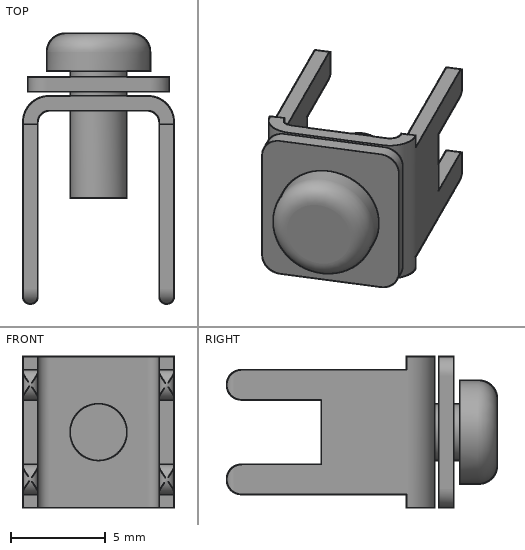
import cadquery as cq

bracket_width = 8.0
bracket_height = 8.0
sheet = 0.8
web_top = 11.0
inner_bend_radius = 0.6
outer_bend_radius = inner_bend_radius + sheet

shoulder_y = 9.5
wall_height = 6.6
leg_width = 1.6
fork_y = 5.0
fork_gap = wall_height - 2 * leg_width

plate_width = 7.5
plate_height = bracket_height
plate_corner_radius = 1.0
plate_gap = 0.2
plate_bottom = web_top + plate_gap

screw_diameter = 3.0
screw_end_y = 5.6
head_diameter = 5.5
head_height = 2.0
head_fillet = 1.0
head_top = 14.31
head_bottom = head_top - head_height


def box_y(width, y_start, y_end, height):
    """Box centred on X and Z, spanning the given Y range."""
    length = y_end - y_start
    return cq.Workplane("XY").box(width, length, height).translate((0, y_start + length / 2, 0))


def rod_y(diameter, y_start, y_end):
    """Cylinder along Y."""
    plane = cq.Plane(origin=(0, y_start, 0), xDir=(1, 0, 0), normal=(0, 1, 0))
    return cq.Workplane(plane).circle(diameter / 2).extrude(y_end - y_start)


def bent_sheet():
    """U-shaped sheet with rounded bends and fully rounded free ends."""
    outer = box_y(bracket_width, 0, web_top, bracket_height)
    outer = outer.edges("|Z and >Y").fillet(outer_bend_radius)
    inner_top = web_top - sheet
    inner = box_y(bracket_width - 2 * sheet, 0, inner_top, bracket_height)
    inner = inner.edges("|Z and >Y").fillet(inner_bend_radius)
    sheet_body = outer.cut(inner)

    end_radius = sheet / 2
    wall_x = bracket_width / 2 - end_radius
    sheet_body = sheet_body.cut(box_y(bracket_width, 0, end_radius, bracket_height))
    ends = (
        cq.Workplane("XY", origin=(0, 0, -bracket_height / 2))
        .pushPoints([(-wall_x, end_radius), (wall_x, end_radius)])
        .circle(end_radius)
        .extrude(bracket_height)
    )
    return sheet_body.union(ends)


def side_outline():
    """Solid whose YZ outline has the shoulders, the fork and round leg tips."""
    tip_radius = leg_width / 2
    leg_z = (fork_gap + leg_width) / 2
    outline = box_y(bracket_width, shoulder_y, web_top, bracket_height)
    outline = outline.union(box_y(bracket_width, fork_y, shoulder_y, wall_height))
    for z in (-leg_z, leg_z):
        leg = box_y(bracket_width, tip_radius, fork_y, leg_width).translate((0, 0, z))
        tip = (
            cq.Workplane("YZ", origin=(-bracket_width / 2, 0, 0))
            .center(tip_radius, z)
            .circle(tip_radius)
            .extrude(bracket_width)
        )
        outline = outline.union(leg).union(tip)
    return outline


def clamp_plate():
    plate = box_y(plate_width, plate_bottom, plate_bottom + sheet, plate_height)
    return plate.edges("|Y").fillet(plate_corner_radius)


def screw():
    head = rod_y(head_diameter, head_bottom, head_top).faces(">Y").edges().fillet(head_fillet)
    shank = rod_y(screw_diameter, screw_end_y, head_bottom)
    return head.union(shank)


bracket = bent_sheet().intersect(side_outline())
result = bracket.union(clamp_plate()).union(screw())